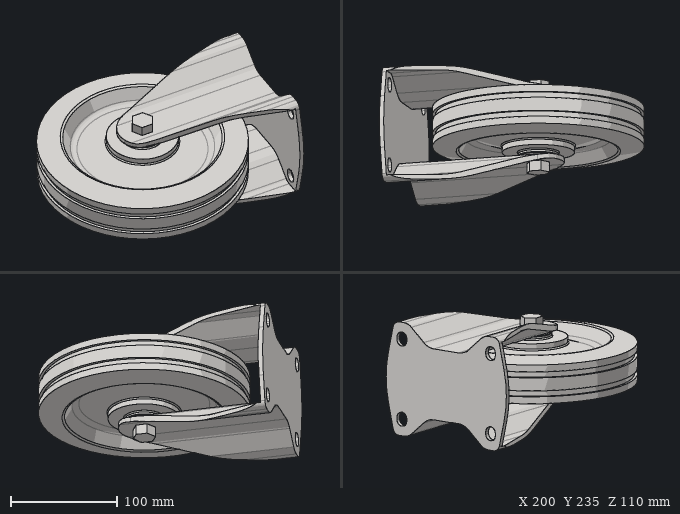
import cadquery as cq
import math


wheel_diameter = 200.0
groove_diameter = 194.3
wheel_half_width = 23.3
shoulder_height = 18.8
groove_inner_height = 6.3
groove_outer_height = 12.0
rim_radius = 77.5
rim_edge_radius = 75.2
rim_edge_height = 22.0
dish_wall_radius = 68.2
dish_wall_height = 11.5
web_outer_radius = 61.8
web_outer_height = 8.7
hub_diameter = 68.5
hub_height = 24.5
hub_foot_radius = 35.2
hub_foot_height = 17.9
hub_wall_base = 19.3

bearing_diameter = 38.0
bearing_foot_radius = 20.0
bearing_foot_height = 25.8
bearing_height = 28.5
bearing_chamfer = 0.7
spacer_diameter = 20.0
bolt_head_flats = 19.0
bolt_head_height = 44.0

overall_length = 235.0
fork_height = 110.0
sheet = 4.5
valley_height = 34.3
valley_corner_x = 21.2
crest_corner_x = 44.6
valley_bend_radius = 18.0
crest_bend_radius = 13.5
plate_width = 141.5
plate_side_radius = 115.2
plate_side_angle = 12.5
plate_corner_radius = 7.3
arm_end_radius = 24.5
arm_taper_angle = 16.2

slot_width = 11.3
slot_length = 13.5
slot_x = 52.2
slot_z = 38.8

wheel_radius = wheel_diameter / 2
plate_back_y = overall_length - wheel_radius
crest_height = fork_height / 2


def mirrored(body):
    """Join a body with its mirror image below the wheel's middle plane."""
    return body.union(body.mirror("XY"))


def make_wheel():
    """Revolve half of the wheel section, mirror it and add the tread band between the grooves."""
    section = (
        cq.Workplane("XZ")
        .lineTo(groove_diameter / 2, 0)
        .lineTo(groove_diameter / 2, groove_outer_height)
        .lineTo(wheel_radius, groove_outer_height)
        .lineTo(wheel_radius, shoulder_height)
        .lineTo(rim_radius, wheel_half_width)
        .lineTo(rim_edge_radius, rim_edge_height)
        .lineTo(dish_wall_radius, dish_wall_height)
        .tangentArcPoint((web_outer_radius, web_outer_height), relative=False)
        .lineTo(hub_foot_radius, hub_foot_height)
        .lineTo(hub_diameter / 2, hub_wall_base)
        .lineTo(hub_diameter / 2, hub_height)
        .lineTo(0, hub_height)
        .close()
    )
    halves = mirrored(section.revolve(360, (0, 0, 0), (0, 1, 0)))
    tread_band = (
        cq.Workplane("XY", origin=(0, 0, -groove_inner_height))
        .circle(wheel_radius)
        .extrude(2 * groove_inner_height)
    )
    return halves.union(tread_band)


def make_axle():
    """Bearing collar, spacer and hexagonal bolt head on both sides."""
    bearing_radius = bearing_diameter / 2
    fork_inner_height = valley_height - sheet
    collar = (
        cq.Workplane("XZ")
        .lineTo(bearing_foot_radius, 0)
        .lineTo(bearing_foot_radius, hub_height)
        .lineTo(bearing_radius, bearing_foot_height)
        .lineTo(bearing_radius, bearing_height - bearing_chamfer)
        .lineTo(bearing_radius - bearing_chamfer, bearing_height)
        .lineTo(0, bearing_height)
        .close()
        .revolve(360, (0, 0, 0), (0, 1, 0))
    )
    spacer = cq.Workplane("XY").circle(spacer_diameter / 2).extrude(fork_inner_height)
    hexagon_sides = 6
    corner_diameter = bolt_head_flats / math.cos(math.pi / hexagon_sides)
    bolt = (
        cq.Workplane("XY")
        .transformed(rotate=(0, 0, 90))
        .polygon(hexagon_sides, corner_diameter)
        .extrude(bolt_head_height)
    )
    return mirrored(collar.union(spacer).union(bolt))


def round_corners(body, x, z, radius):
    """Round the four edges along Y that lie nearest to (+-x, +-z)."""
    for side_x in (x, -x):
        for side_z in (z, -z):
            corner = cq.NearestToPointSelector((side_x, plate_back_y / 2, side_z))
            body = body.edges("|Y").edges(corner).fillet(radius)
    return body


def make_fork_envelope():
    """Plate outline with its bent valleys, extruded over the whole fork."""
    lean = math.radians(plate_side_angle)
    side_x = plate_width / 2
    arc_end_x = side_x - plate_side_radius * (1 - math.cos(lean))
    arc_end_z = plate_side_radius * math.sin(lean)
    corner_x = arc_end_x - (crest_height - arc_end_z) * math.tan(lean)
    outline = (
        cq.Workplane("XZ")
        .moveTo(0, valley_height)
        .lineTo(valley_corner_x, valley_height)
        .lineTo(crest_corner_x, crest_height)
        .lineTo(corner_x, crest_height)
        .lineTo(arc_end_x, arc_end_z)
        .threePointArc((side_x, 0), (arc_end_x, -arc_end_z))
        .lineTo(corner_x, -crest_height)
        .lineTo(crest_corner_x, -crest_height)
        .lineTo(valley_corner_x, -valley_height)
        .lineTo(0, -valley_height)
        .mirrorY()
    )
    body = outline.extrude(plate_back_y + arm_end_radius).translate((0, plate_back_y, 0))
    body = round_corners(body, valley_corner_x, valley_height, valley_bend_radius)
    body = round_corners(body, crest_corner_x, crest_height, crest_bend_radius)
    return round_corners(body, corner_x, crest_height, plate_corner_radius)


def make_fork_gap():
    """Space between the two arms, one sheet thickness inside the envelope."""
    bend_angle = math.atan2(crest_height - valley_height, crest_corner_x - valley_corner_x)
    corner_shift = sheet * math.tan(bend_angle / 2)
    valley_x = valley_corner_x + corner_shift
    crest_x = crest_corner_x + corner_shift
    valley_z = valley_height - sheet
    crest_z = crest_height - sheet
    open_side_x = plate_width / 2 + sheet
    outline = (
        cq.Workplane("XZ")
        .moveTo(0, valley_z)
        .lineTo(valley_x, valley_z)
        .lineTo(crest_x, crest_z)
        .lineTo(open_side_x, crest_z)
        .lineTo(open_side_x, -crest_z)
        .lineTo(crest_x, -crest_z)
        .lineTo(valley_x, -valley_z)
        .lineTo(0, -valley_z)
        .mirrorY()
    )
    front_y = plate_back_y - sheet
    body = outline.extrude(front_y + arm_end_radius).translate((0, front_y, 0))
    body = round_corners(body, valley_x, valley_z, valley_bend_radius + sheet)
    return round_corners(body, crest_x, crest_z, crest_bend_radius - sheet)


def make_arm_trim():
    """Tapered outline of the arms with a round end about the axle, plus the plate slab."""
    taper = math.radians(arm_taper_angle)
    plate_front_y = plate_back_y - sheet
    tangent_x = arm_end_radius * math.cos(taper)
    tangent_y = -arm_end_radius * math.sin(taper)
    root_x = tangent_x + (plate_front_y - tangent_y) * math.tan(taper)
    arms = (
        cq.Workplane("XY")
        .moveTo(-root_x, plate_front_y)
        .lineTo(-tangent_x, tangent_y)
        .threePointArc((0, -arm_end_radius), (tangent_x, tangent_y))
        .lineTo(root_x, plate_front_y)
        .close()
        .extrude(crest_height, both=True)
    )
    plate = (
        cq.Workplane("XY")
        .box(plate_width, sheet, fork_height)
        .translate((0, plate_back_y - sheet / 2, 0))
    )
    return arms.union(plate)


def make_slots():
    """Four upright mounting slots through the plate."""
    return (
        cq.Workplane("XZ", origin=(0, plate_back_y, 0))
        .rarray(2 * slot_x, 2 * slot_z, 2, 2)
        .slot2D(slot_length, slot_width, 90)
        .extrude(sheet)
    )


fork = make_fork_envelope().cut(make_fork_gap())
fork = fork.intersect(make_arm_trim()).cut(make_slots())
result = make_wheel().union(make_axle()).union(fork).clean()